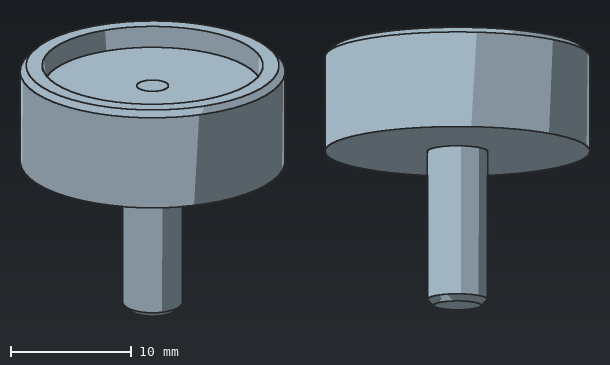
import cadquery as cq

head_diameter = 22.0
head_height = 8.5
recess_diameter = 18.3
floor_diameter = 18.05
recess_depth = 1.8
stud_diameter = 5.0
stud_length = 13.0
spigot_diameter = 2.65
edge_chamfer = 0.5

recess_floor_z = head_height - recess_depth


def make_head():
    """Round head with a chamfered rim, a shallow tapered recess and a central hole for the spigot."""
    head = cq.Workplane("XY").circle(head_diameter / 2).extrude(head_height)
    head = head.faces(">Z").chamfer(edge_chamfer)
    recess = (
        cq.Workplane("XY")
        .workplane(offset=recess_floor_z)
        .circle(floor_diameter / 2)
        .workplane(offset=recess_depth)
        .circle(recess_diameter / 2)
        .loft()
    )
    spigot_hole = cq.Workplane("XY").circle(spigot_diameter / 2).extrude(recess_floor_z)
    return head.cut(recess).cut(spigot_hole)


def make_stud():
    """Stud with a chamfered tip and a thinner spigot that ends flush with the recess floor."""
    shank = cq.Workplane("XY").circle(stud_diameter / 2).extrude(-stud_length)
    shank = shank.faces("<Z").chamfer(edge_chamfer)
    spigot = cq.Workplane("XY").circle(spigot_diameter / 2).extrude(recess_floor_z)
    return shank.union(spigot)


head = make_head()
stud = make_stud()

result = cq.Compound.makeCompound([head.val(), stud.val()])